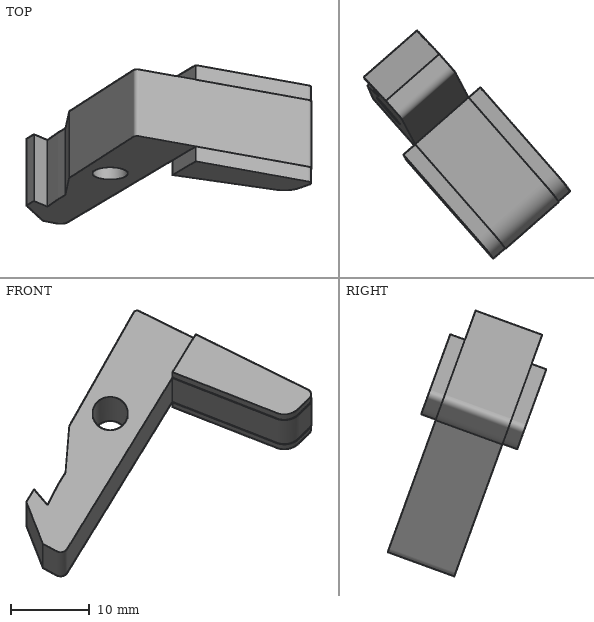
import cadquery as cq
import math

LEAN = 30.0
TILT = 20.0

BODY_THICKNESS = 9.0
GRIP_THICKNESS = 13.0

FOOT_Y = -1.45
FOOT_WIDTH = 3.0
FOOT_RADIUS = 1.0

HOOK_X = -7.67
HOOK_LOW_Y = 2.43
HOOK_TIP_Y = 4.38
NOTCH_X = -5.15
NOTCH_Y = 3.4
NECK_X = -5.35
NECK_LOW_Y = 6.48
NECK_HIGH_Y = 8.33

SHOULDER_X = -8.07
SHOULDER_Y = 13.97
CORNER_X = -8.7
CORNER_Y = 31.85
CORNER_RADIUS = 0.5

INNER_CORNER_Y = 26.15
TOP_SLOPE = 2.3
UNDERSIDE_SLOPE = 7.4
END_SLOPE = 76.0
ARM_LOW_X = 15.95
END_LOW_RADIUS = 2.6
END_HIGH_RADIUS = 0.8
GRIP_INSET = 0.07

HOLE_DIAMETER = 4.5
HOLE_X = -4.4
HOLE_Y = 18.05


def slope(angle):
    return math.tan(math.radians(angle))


def top_y(x):
    """Height of the sloping top edge at x."""
    return CORNER_Y + (x - CORNER_X) * slope(TOP_SLOPE)


arm_low_y = INNER_CORNER_Y + ARM_LOW_X * slope(UNDERSIDE_SLOPE)
end_rise = (top_y(ARM_LOW_X) - arm_low_y) / (1 - slope(TOP_SLOPE) / slope(END_SLOPE))
arm_high_y = arm_low_y + end_rise
arm_high_x = ARM_LOW_X + end_rise / slope(END_SLOPE)
ARM_LOW = (ARM_LOW_X, arm_low_y)
ARM_HIGH = (arm_high_x, arm_high_y)


def back_plane(thickness):
    """Sketch plane at the back of a thickness centred on the middle plane."""
    return cq.Workplane("XY").workplane(offset=-thickness / 2)


def slab(points, thickness):
    """Solid of the given outline, centred on the middle plane."""
    return back_plane(thickness).polyline(points).close().extrude(thickness)


def round_corner(solid, corner, radius):
    """Round the edge that crosses the profile at the given corner."""
    return solid.edges(cq.selectors.NearestToPointSelector((*corner, 0))).fillet(radius)


def round_arm_end(solid):
    solid = round_corner(solid, ARM_LOW, END_LOW_RADIUS)
    return round_corner(solid, ARM_HIGH, END_HIGH_RADIUS)


def make_body():
    foot_corner = (0, FOOT_Y)
    outer_corner = (CORNER_X, CORNER_Y)
    outline = [
        foot_corner,
        (0, INNER_CORNER_Y),
        ARM_LOW,
        ARM_HIGH,
        outer_corner,
        (SHOULDER_X, SHOULDER_Y),
        (NECK_X, NECK_HIGH_Y),
        (NECK_X, NECK_LOW_Y),
        (NOTCH_X, NOTCH_Y),
        (HOOK_X, HOOK_TIP_Y),
        (HOOK_X, HOOK_LOW_Y),
        (-FOOT_WIDTH, FOOT_Y),
    ]
    body = slab(outline, BODY_THICKNESS)
    body = round_corner(body, foot_corner, FOOT_RADIUS)
    body = round_corner(body, outer_corner, CORNER_RADIUS)
    return round_arm_end(body)


def make_grip():
    """Wider part of the arm, set slightly inside the arm's outline."""
    side_x = -GRIP_INSET
    outline = [(side_x, INNER_CORNER_Y), ARM_LOW, ARM_HIGH, (side_x, top_y(side_x))]
    arm_face = round_arm_end(slab(outline, GRIP_THICKNESS)).faces(">Z")
    inset_outline = arm_face.wires().toPending().offset2D(-GRIP_INSET)
    return inset_outline.extrude(-GRIP_THICKNESS, combine=False)


hole = (
    back_plane(BODY_THICKNESS)
    .center(HOLE_X, HOLE_Y)
    .circle(HOLE_DIAMETER / 2)
    .extrude(BODY_THICKNESS)
)

upright = make_body().union(make_grip()).cut(hole)
leaned = upright.rotate((0, 0, 0), (0, 0, 1), -LEAN)
result = leaned.rotate((0, 0, 0), (1, 0, 0), 90 - TILT)